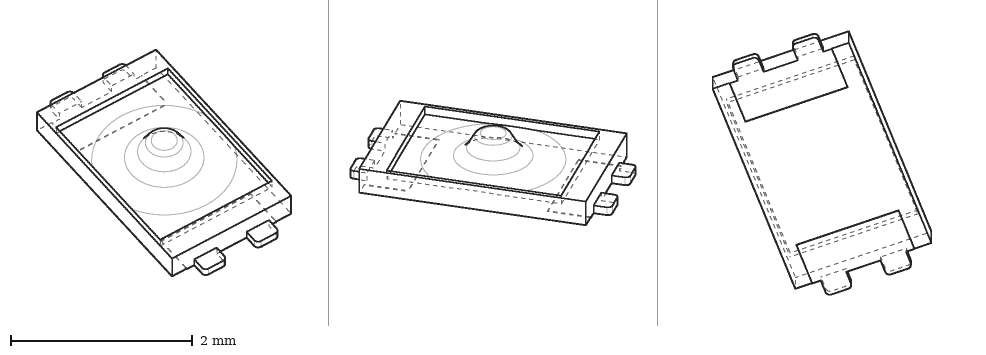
import cadquery as cq
import math

total_length = 3.0
total_height = 0.54

body_length = 2.6
body_width = 1.6
body_height = 0.3
standoff = 0.01
body_top = standoff + body_height

pocket_length = 2.0
pocket_width = 1.5
pocket_depth = 0.1
pocket_floor = body_top - pocket_depth

dome_radius = body_width / 2
foot_radius = 0.342
foot_height = 0.27
flank_angle = 30.0
button_radius = foot_radius - (total_height - foot_height) * math.tan(math.radians(flank_angle))
foot_fillet = 0.195
button_fillet = 0.075

lead_width = 0.3
lead_thickness = 0.1
lead_spacing = 0.702
lead_corner_radius = 0.05
pad_reach = 0.7
pad_width = 1.2


def centered_box(length, width, bottom, top):
    """Box centred on the Z axis between two heights."""
    return cq.Workplane("XY").workplane(offset=bottom).rect(length, width).extrude(top - bottom)


def make_body():
    block = centered_box(body_length, body_width, standoff, body_top)
    pocket = centered_box(pocket_length, pocket_width, pocket_floor, body_top)
    return block.cut(pocket)


def make_dome():
    """Revolved button, trimmed to the sides of the pocket."""
    profile = [
        (0, standoff),
        (dome_radius, standoff),
        (dome_radius, pocket_floor),
        (foot_radius, foot_height),
        (button_radius, total_height),
        (0, total_height),
    ]
    dome = cq.Workplane("XZ").polyline(profile).close().revolve(360, (0, 0), (0, 1))
    foot_circle = cq.selectors.RadiusNthSelector(1)
    dome = dome.edges("%CIRCLE").edges(foot_circle).fillet(foot_fillet)
    dome = dome.faces(">Z").edges().fillet(button_fillet)
    trim = centered_box(pocket_length, pocket_width, standoff, total_height)
    return dome.intersect(trim)


def make_lead(end, side):
    """Lead with rounded outer corners, running from its tip to the pad's inner edge."""
    outer_tip = end * total_length / 2
    lead = (
        cq.Workplane("XY")
        .center(outer_tip - end * pad_reach / 2, side * lead_spacing / 2)
        .rect(pad_reach, lead_width)
        .extrude(lead_thickness)
    )
    return lead.edges("|Z").edges(">X" if end > 0 else "<X").fillet(lead_corner_radius)


def make_pad(end):
    """Thin pad flush with the underside of the leads, ending at the body's end face."""
    pad_length = pad_reach - (total_length - body_length) / 2
    center_x = end * (body_length - pad_length) / 2
    return cq.Workplane("XY").center(center_x, 0).rect(pad_length, pad_width).extrude(standoff)


result = make_body().union(make_dome())
for end in (-1, 1):
    result = result.union(make_pad(end))
    for side in (-1, 1):
        result = result.union(make_lead(end, side))